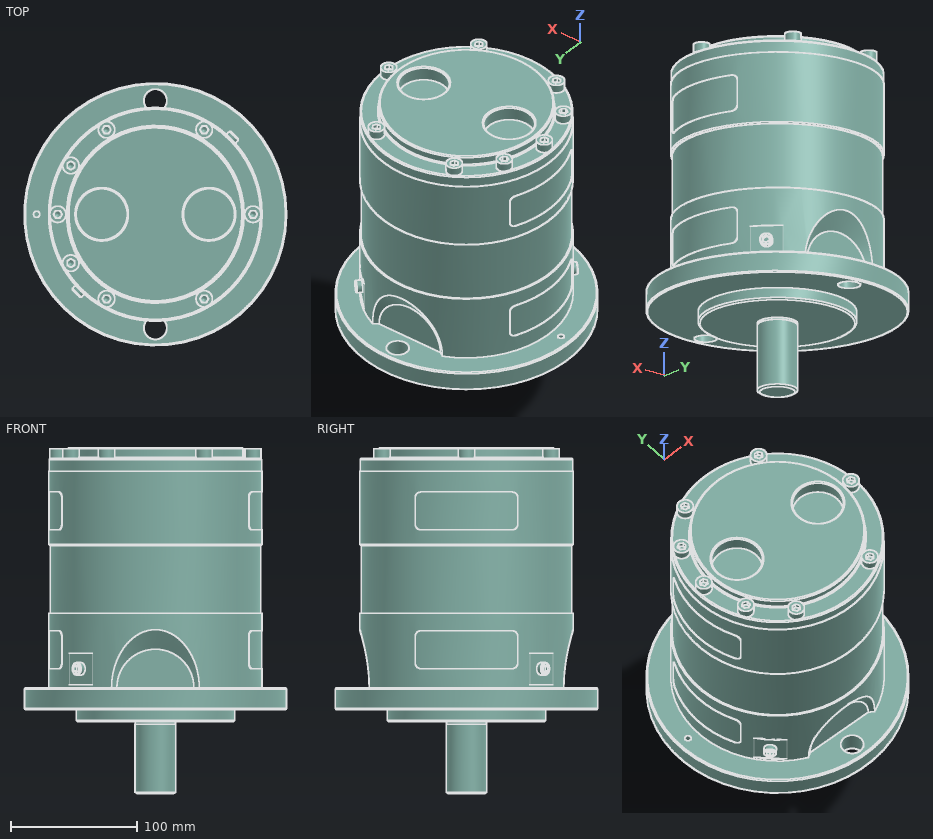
import cadquery as cq
import math

SHAFT_BOTTOM = -66.7
PILOT_BOTTOM = -9.7
FLANGE_TOP = 17.4
LOWER_BODY_TOP = 76.4
UPPER_BODY_BOTTOM = 129.9
PLATE_BOTTOM = 189.0
PLATE_TOP = 199.1
SCREW_TOP = 206.7
LID_TOP = 207.5

SHAFT_D = 32.35
SHAFT_NECK_D = 31.99
SHAFT_NECK_LENGTH = 1.7
SHAFT_CHAMFER_LENGTH = 1.5
SHAFT_CHAMFER_WIDTH = 2.2
PILOT_D = 125.8
PILOT_CHAMFER = 1.5
FLANGE_D = 208.0
FLANGE_CHAMFER = 1.0
BODY_D = 169.2
BODY_R = BODY_D / 2
BODY_CHAMFER_LENGTH = 1.6
MIDDLE_BODY_D = 167.0
BODY_STEP = (BODY_D - MIDDLE_BODY_D) / 2
PLATE_D = 168.5
PLATE_CHAMFER = 1.0
LID_D = 139.0
LID_CHAMFER = 1.0
LID_FOOT_FLARE = 0.9

PORT_D = 40.38
PORT_CHAMFER = 1.0
PORT_SPACING = 85.0
PORT_DEPTH = 12.6

SCREW_CIRCLE_R = 77.3
SCREW_ANGLES = (0, 60, 120, 150, 180, 210, 240, 300)
SCREW_HEAD_D = 13.0
SCREW_SOCKET_FLATS = 6.0
SCREW_SOCKET_DEPTH = 4.0
SCREW_SOCKET_CONE_DEPTH = 1.7

MOUNT_HOLE_D = 18.0
MOUNT_CIRCLE_R = 90.0
PIN_HOLE_D = 5.0
PIN_HOLE_R = 94.0
PIN_HOLE_DEPTH = 10.0

POCKET_FLAT_Y = 74.3
POCKET_FLAT_R = 30.5
POCKET_RIM_R = 46.0
POCKET_OVERRUN = 1.0

LABEL_WIDTH = 81.2
LABEL_HEIGHT = 30.0
LABEL_CORNER_R = 4.5
LABEL_FLOOR_D = PLATE_D
LABEL_CENTERS_Z = (47.5, 157.4)

PLUG_ANGLES = (45, 225)
PLUG_FLAT_WIDTH = 26.0
PLUG_FLAT_BOTTOM = FLANGE_TOP + 2.5
PLUG_FLAT_HEIGHT = 25.0
PLUG_FLAT_DISTANCE = math.sqrt(BODY_R**2 - (PLUG_FLAT_WIDTH / 2) ** 2)
PLUG_Z = FLANGE_TOP + 15.0
PLUG_HEAD_D = 10.0
PLUG_HEAD_HEIGHT = 5.0
PLUG_HEAD_CHAMFER = 0.6
PLUG_SOCKET_FLATS = 5.2
PLUG_SOCKET_DEPTH = 3.0

HEX_CORNER_RATIO = 2 / math.sqrt(3)


def disc(diameter, bottom, top):
    return cq.Workplane("XY").workplane(offset=bottom).circle(diameter / 2).extrude(top - bottom)


def make_shaft():
    neck = disc(SHAFT_NECK_D, PILOT_BOTTOM - SHAFT_NECK_LENGTH, PILOT_BOTTOM)
    journal = disc(SHAFT_D, SHAFT_BOTTOM, PILOT_BOTTOM - SHAFT_NECK_LENGTH)
    journal = journal.faces("<Z").edges().chamfer(SHAFT_CHAMFER_LENGTH, SHAFT_CHAMFER_WIDTH)
    return neck.union(journal)


def make_housing():
    pilot = disc(PILOT_D, PILOT_BOTTOM, 0).faces("<Z").chamfer(PILOT_CHAMFER)
    flange = disc(FLANGE_D, 0, FLANGE_TOP).edges().chamfer(FLANGE_CHAMFER)
    lower_body = disc(BODY_D, FLANGE_TOP, LOWER_BODY_TOP)
    middle_body = disc(MIDDLE_BODY_D, LOWER_BODY_TOP, UPPER_BODY_BOTTOM)
    upper_body = disc(BODY_D, UPPER_BODY_BOTTOM, PLATE_BOTTOM)
    upper_body = upper_body.faces("<Z").chamfer(BODY_STEP, BODY_CHAMFER_LENGTH)
    plate = disc(PLATE_D, PLATE_BOTTOM, PLATE_TOP).faces(">Z").edges().chamfer(PLATE_CHAMFER)
    lid = disc(LID_D, PLATE_TOP, LID_TOP).faces(">Z").chamfer(LID_CHAMFER)
    lid_foot = disc(LID_D + 2 * LID_FOOT_FLARE, PLATE_TOP - PLATE_CHAMFER, PLATE_TOP + LID_FOOT_FLARE)
    lid_foot = lid_foot.faces(">Z").chamfer(LID_FOOT_FLARE)
    housing = make_shaft()
    for section in (pilot, flange, lower_body, middle_body, upper_body, plate, lid_foot, lid):
        housing = housing.union(section)
    return housing


def cut_ports(body):
    for x in (-PORT_SPACING / 2, PORT_SPACING / 2):
        port = disc(PORT_D, LID_TOP - PORT_DEPTH, LID_TOP)
        lead_in = cq.Solid.makeCone(
            PORT_D / 2,
            PORT_D / 2 + PORT_CHAMFER,
            PORT_CHAMFER,
            cq.Vector(0, 0, LID_TOP - PORT_CHAMFER),
        )
        body = body.cut(port.union(cq.Workplane(lead_in)).translate((x, 0, 0)))
    return body


def hex_prism(across_flats, bottom, top):
    corner_d = across_flats * HEX_CORNER_RATIO
    return cq.Workplane("XY").workplane(offset=bottom).polygon(6, corner_d).extrude(top - bottom)


def add_screws(body):
    socket = hex_prism(SCREW_SOCKET_FLATS, SCREW_TOP - SCREW_SOCKET_DEPTH, SCREW_TOP)
    cone = cq.Solid.makeCone(
        SCREW_SOCKET_FLATS / 2,
        0,
        SCREW_SOCKET_CONE_DEPTH,
        cq.Vector(0, 0, SCREW_TOP - SCREW_SOCKET_DEPTH),
        cq.Vector(0, 0, -1),
    )
    socket = socket.union(cq.Workplane(cone))
    screw = disc(SCREW_HEAD_D, PLATE_TOP, SCREW_TOP).cut(socket)
    screw = screw.translate((SCREW_CIRCLE_R, 0, 0))
    for angle in SCREW_ANGLES:
        body = body.union(screw.rotate((0, 0, 0), (0, 0, 1), angle))
    return body


def cut_clearance_pockets(body):
    slope = (POCKET_RIM_R - POCKET_FLAT_R) / (BODY_R - POCKET_FLAT_Y)
    outer_y = BODY_R + POCKET_OVERRUN
    outer_r = POCKET_FLAT_R + slope * (outer_y - POCKET_FLAT_Y)
    cone = cq.Solid.makeCone(
        POCKET_FLAT_R,
        outer_r,
        outer_y - POCKET_FLAT_Y,
        cq.Vector(0, POCKET_FLAT_Y, FLANGE_TOP),
        cq.Vector(0, 1, 0),
    )
    pocket = cq.Workplane(cone).intersect(disc(FLANGE_D, FLANGE_TOP, LOWER_BODY_TOP))
    return body.cut(pocket).cut(pocket.mirror("XZ"))


def cut_flange_holes(body):
    for y in (-MOUNT_CIRCLE_R, MOUNT_CIRCLE_R):
        body = body.cut(disc(MOUNT_HOLE_D, 0, FLANGE_TOP).translate((0, y, 0)))
    pin_hole = disc(PIN_HOLE_D, FLANGE_TOP - PIN_HOLE_DEPTH, FLANGE_TOP)
    return body.cut(pin_hole.translate((-PIN_HOLE_R, 0, 0)))


def cut_labels(body):
    for z in LABEL_CENTERS_Z:
        label = cq.Workplane("XY").box(FLANGE_D, LABEL_WIDTH, LABEL_HEIGHT)
        label = label.edges("|X").fillet(LABEL_CORNER_R).translate((0, 0, z))
        core = disc(LABEL_FLOOR_D, FLANGE_TOP, PLATE_TOP)
        body = body.cut(label.cut(core))
    return body


def add_plugs(body):
    flat = cq.Workplane("XY").box(
        PLUG_FLAT_WIDTH, PLUG_FLAT_WIDTH, PLUG_FLAT_HEIGHT, centered=(False, True, False)
    )
    flat = flat.translate((PLUG_FLAT_DISTANCE, 0, PLUG_FLAT_BOTTOM))
    head = disc(PLUG_HEAD_D, 0, PLUG_HEAD_HEIGHT).faces(">Z").chamfer(PLUG_HEAD_CHAMFER)
    head = head.cut(hex_prism(PLUG_SOCKET_FLATS, PLUG_HEAD_HEIGHT - PLUG_SOCKET_DEPTH, PLUG_HEAD_HEIGHT))
    head = head.rotate((0, 0, 0), (0, 1, 0), 90).translate((PLUG_FLAT_DISTANCE, 0, PLUG_Z))
    for angle in PLUG_ANGLES:
        body = body.cut(flat.rotate((0, 0, 0), (0, 0, 1), angle))
        body = body.union(head.rotate((0, 0, 0), (0, 0, 1), angle))
    return body


result = make_housing()
result = cut_ports(result)
result = add_screws(result)
result = cut_clearance_pockets(result)
result = cut_flange_holes(result)
result = cut_labels(result)
result = add_plugs(result)